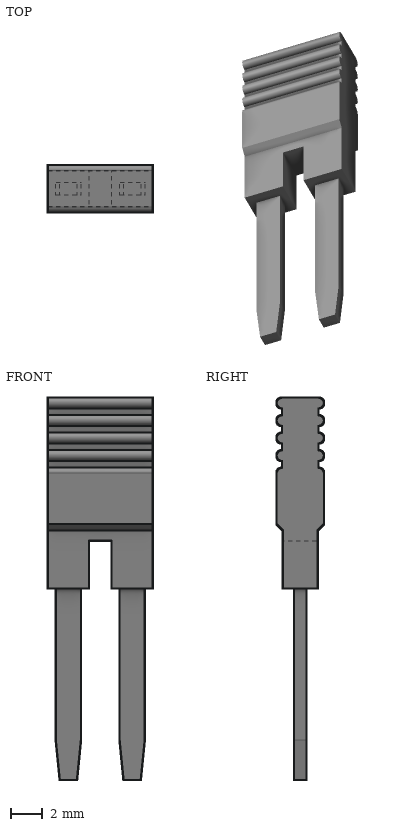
import cadquery as cq

body_width = 6.6
grip_depth = 3.0
neck_depth = 2.2
total_height = 24.0
body_height = 12.0
shoulder_height = 4.05

ridge_count = 4
ridge_pitch = 1.1
ridge_radius = 0.35

slot_width = 1.4
slot_height = 3.0

leg_pitch = 4.0
leg_width = 1.6
leg_tip_width = 1.1
leg_depth = 0.8
leg_taper_height = 2.5

body_bottom = total_height - body_height
shoulder_top = body_bottom + shoulder_height
side_step = (grip_depth - neck_depth) / 2
grip_top = total_height - ridge_count * ridge_pitch


def make_neck():
    """Plain block from the underside of the body up to the shoulder."""
    return (
        cq.Workplane("XY", origin=(0, 0, body_bottom))
        .rect(body_width, neck_depth)
        .extrude(shoulder_height)
    )


def make_ridge_core():
    """Block between the ridges; its faces are the groove floors, where the ridge rounding begins."""
    return (
        cq.Workplane("XY", origin=(0, 0, shoulder_top))
        .rect(body_width, grip_depth - 2 * ridge_radius)
        .extrude(total_height - shoulder_top)
    )


def make_grip():
    """Thicker plain grip with a 45-degree taper below and rounded top edges."""
    half_grip = grip_depth / 2
    half_neck = neck_depth / 2
    outline = [
        (-half_neck, shoulder_top - side_step),
        (half_neck, shoulder_top - side_step),
        (half_grip, shoulder_top),
        (half_grip, grip_top),
        (-half_grip, grip_top),
        (-half_grip, shoulder_top),
    ]
    grip = cq.Workplane("YZ").polyline(outline).close().extrude(body_width / 2, both=True)
    return grip.faces(">Z").edges("|X").fillet(ridge_radius)


def make_ridge(center_z):
    """Bar with half-round front and back edges, forming a ridge on both faces."""
    return (
        cq.Workplane("YZ", origin=(0, 0, center_z))
        .slot2D(grip_depth, 2 * ridge_radius)
        .extrude(body_width / 2, both=True)
    )


def make_slot():
    """Cutter for the slot that opens at the underside of the body."""
    return (
        cq.Workplane("XY", origin=(0, 0, body_bottom))
        .rect(slot_width, neck_depth)
        .extrude(slot_height)
    )


def make_leg(center_x):
    """Flat contact leg, narrowed towards its tip."""
    half_width = leg_width / 2
    half_tip = leg_tip_width / 2
    outline = [
        (center_x - half_tip, 0),
        (center_x + half_tip, 0),
        (center_x + half_width, leg_taper_height),
        (center_x + half_width, body_bottom),
        (center_x - half_width, body_bottom),
        (center_x - half_width, leg_taper_height),
    ]
    return cq.Workplane("XZ").polyline(outline).close().extrude(leg_depth / 2, both=True)


body = make_neck().union(make_grip()).union(make_ridge_core())
for index in range(ridge_count):
    body = body.union(make_ridge(total_height - ridge_radius - index * ridge_pitch))

result = body.cut(make_slot())
for center_x in (-leg_pitch / 2, leg_pitch / 2):
    result = result.union(make_leg(center_x))

result = result.clean()